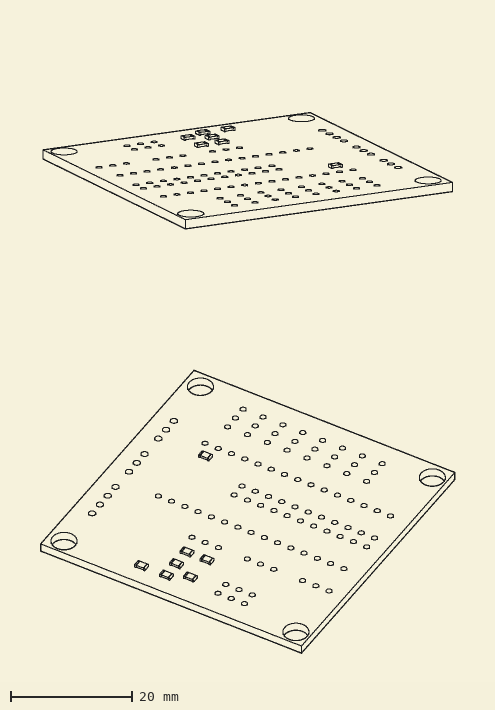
import cadquery as cq

BOARD_SIDE = 50.0
BOARD_THICKNESS = 1.6

MOUNT_DIAMETER = 4.3
MOUNT_SPACING = 44.45
MOUNT_CENTER = (-0.2, -0.2)

PIN_DIAMETER = 1.0
MODULE_PINS = 15
MODULE_LENGTH = 35.55
PITCH = MODULE_LENGTH / (MODULE_PINS - 1)

MODULE_ROWS_X = (-4.9, 10.3)
MODULE_START_Y = -21.3

DOUBLE_HEADER_START = (1.7, -21.8)
DOUBLE_HEADER_PINS = (2, 11)

SMALL_HEADER_START = (-20.7, -11.55)
SMALL_HEADER_PINS = (2, 3)

SENSOR_HEADER_START = (-10.9, -22.0)
SENSOR_HEADER_COUNT = 3
SENSOR_HEADER_PINS = 3
SENSOR_HEADER_SPACING = 10.6

SERVO_START = (15.7, -13.55)
SERVO_PINS = 3
SERVO_ROWS = 8
SERVO_LENGTH = 26.65
SERVO_ROW_PITCH = SERVO_LENGTH / (SERVO_ROWS - 1)

TERMINAL_DIAMETER = 1.2
TERMINAL_Y = 21.5
TERMINAL_BLOCKS = ((-14.15, 4), (-2.15, 3), (7.4, 3))

CHIP_LENGTH = 2.0
CHIP_WIDTH = 1.2
CHIP_HEIGHT = 0.5
CAP_LENGTH = 0.3
CAP_ROUNDING = 0.1
CORE_LIFT = 0.1
CHIP_CENTERS = (
    (-21.45, 7.75),
    (-21.4, 3.0),
    (-18.1, 3.0),
    (-14.7, 3.0),
    (-19.8, -0.65),
    (-14.7, -0.85),
    (7.4, 12.45),
)


def hole_grid(start, counts, pitches=(PITCH, PITCH)):
    """Hole centres of a rectangular grid that grows from its lower left hole."""
    return [
        (start[0] + column * pitches[0], start[1] + row * pitches[1])
        for column in range(counts[0])
        for row in range(counts[1])
    ]


def mount_points():
    start = [center - MOUNT_SPACING / 2 for center in MOUNT_CENTER]
    return hole_grid(start, (2, 2), (MOUNT_SPACING, MOUNT_SPACING))


def terminal_points():
    points = []
    for start_x, count in TERMINAL_BLOCKS:
        points += hole_grid((start_x, TERMINAL_Y), (count, 1))
    return points


def pin_points():
    points = []
    for row_x in MODULE_ROWS_X:
        points += hole_grid((row_x, MODULE_START_Y), (1, MODULE_PINS))
    points += hole_grid(DOUBLE_HEADER_START, DOUBLE_HEADER_PINS)
    points += hole_grid(SMALL_HEADER_START, SMALL_HEADER_PINS)
    sensor_x, sensor_y = SENSOR_HEADER_START
    for header in range(SENSOR_HEADER_COUNT):
        header_y = sensor_y + header * SENSOR_HEADER_SPACING
        points += hole_grid((sensor_x, header_y), (1, SENSOR_HEADER_PINS))
    points += hole_grid(SERVO_START, (SERVO_PINS, SERVO_ROWS), (PITCH, SERVO_ROW_PITCH))
    return points


def make_board():
    plate = cq.Workplane("XY").rect(BOARD_SIDE, BOARD_SIDE).extrude(BOARD_THICKNESS)
    hole_sets = (
        (MOUNT_DIAMETER, mount_points()),
        (TERMINAL_DIAMETER, terminal_points()),
        (PIN_DIAMETER, pin_points()),
    )
    for diameter, points in hole_sets:
        plate = plate.cut(cq.Workplane("XY").pushPoints(points).circle(diameter / 2).extrude(BOARD_THICKNESS))
    return plate


def make_cap(end):
    """End cap at the given end of a chip (-1 or 1 along Y), with its edges along X rounded."""
    cap = cq.Workplane("XY").box(CHIP_WIDTH, CAP_LENGTH, CHIP_HEIGHT, centered=(True, True, False))
    cap = cap.edges("|X").fillet(CAP_ROUNDING)
    return cap.translate((0, end * (CHIP_LENGTH - CAP_LENGTH) / 2, 0))


def make_chip(center):
    """One resistor, long side along Y, standing with its end caps on the board."""
    core_length = CHIP_LENGTH - 2 * CAP_LENGTH
    core_height = CHIP_HEIGHT - CORE_LIFT
    core = cq.Workplane("XY").box(CHIP_WIDTH, core_length, core_height, centered=(True, True, False))
    chip = core.translate((0, 0, CORE_LIFT)).union(make_cap(-1)).union(make_cap(1))
    return chip.translate((center[0], center[1], BOARD_THICKNESS))


board = make_board()
chips = [make_chip(center) for center in CHIP_CENTERS]

result = cq.Compound.makeCompound([board.val(), *[chip.val() for chip in chips]])